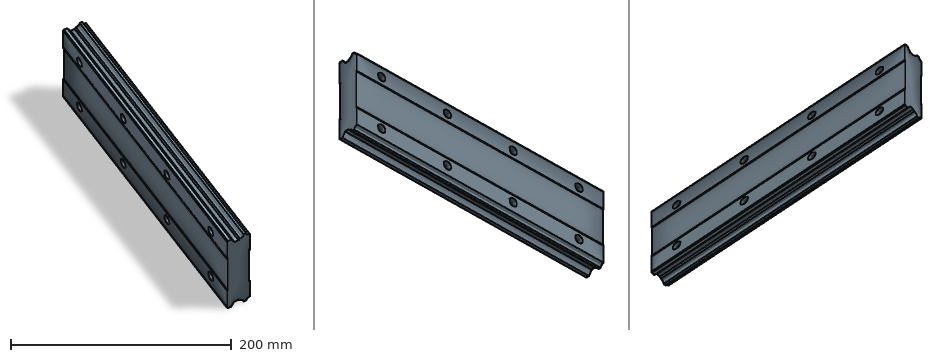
import cadquery as cq

length = 300.0
thickness = 24.0
height = 90.0
back = thickness / 2
front = -thickness / 2
top = height / 2

relief_depth = 1.0
relief_height = 42.0

land_chamfer = 1.0
shoulder_drop = 3.5
shoulder_radius = 4.2
shoulder_width = 4.0
lip_width = 2.7
groove_drop = 5.0
groove_back_slope = 1.5
groove_front_slope = 3.5
land_width = 4.2

hole_diameter = 9.0
hole_columns = 4
hole_pitch_x = 240 / 3
hole_pitch_z = 60.0


def edge_cutter():
    """Bar removed from the upper edge, leaving the stepped profile."""
    clearance = 3.0
    lip_back = back - shoulder_width
    lip_front = lip_back - lip_width
    shoulder_front = lip_front - shoulder_width
    floor_back = shoulder_front - groove_back_slope
    land_back = front + land_width
    floor_front = land_back + groove_front_slope
    shoulder_z = top - shoulder_drop
    floor_z = top - groove_drop
    return (
        cq.Workplane("YZ")
        .moveTo(back, shoulder_z)
        .radiusArc((lip_back, top), shoulder_radius)
        .lineTo(lip_front, top)
        .radiusArc((shoulder_front, shoulder_z), shoulder_radius)
        .lineTo(floor_back, floor_z)
        .lineTo(floor_front, floor_z)
        .lineTo(land_back, top)
        .lineTo(front + land_chamfer, top)
        .lineTo(front, top - land_chamfer)
        .lineTo(front, top + clearance)
        .lineTo(back, top + clearance)
        .close()
        .extrude(length / 2, both=True)
    )


def face_relief(face_y):
    """Shallow full-length recess in one broad face."""
    return cq.Workplane("XY").box(length, 2 * relief_depth, relief_height).translate((0, face_y, 0))


def mounting_holes():
    """Through holes in two rows."""
    return (
        cq.Workplane("XZ")
        .rarray(hole_pitch_x, hole_pitch_z, hole_columns, 2)
        .circle(hole_diameter / 2)
        .extrude(thickness, both=True)
    )


result = cq.Workplane("XY").box(length, thickness, height)
upper_cutter = edge_cutter()
result = result.cut(upper_cutter)
result = result.cut(upper_cutter.mirror("XY"))
for face_y in (front, back):
    result = result.cut(face_relief(face_y))
result = result.cut(mounting_holes())